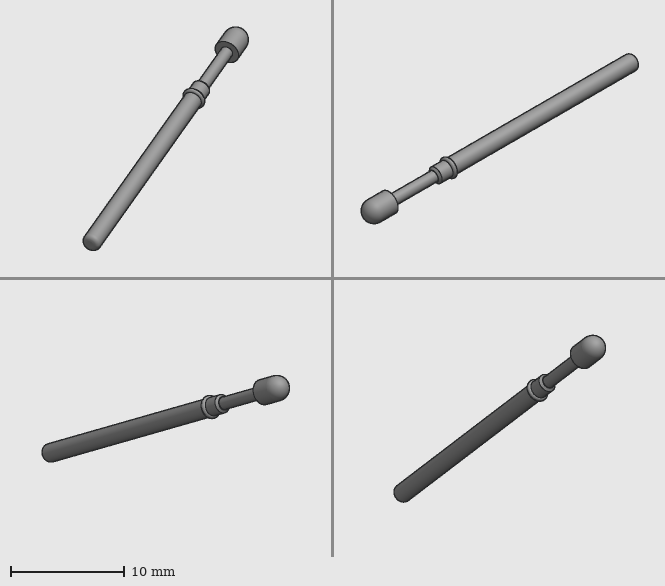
import cadquery as cq
import math

overall_length = 32.3
head_diameter = 2.3
head_length = 3.0
stem_diameter = 1.13
barrel_diameter = 1.68
barrel_mouth_from_tip = 8.3
mouth_chamfer = 0.23
ring_from_tip = 10.08
ring_diameter = 2.1
ring_width = 0.5
tail_fillet = 0.45

head_radius = head_diameter / 2
stem_radius = stem_diameter / 2
barrel_radius = barrel_diameter / 2
ring_round = ring_width / 2
tip_y = overall_length / 2
tail_y = -overall_length / 2
dome_base_y = tip_y - head_radius
head_base_y = tip_y - head_length
mouth_y = tip_y - barrel_mouth_from_tip
ring_y = tip_y - ring_from_tip
diagonal = math.sqrt(0.5)


def make_plunger():
    """Stem with a hemispherical head, reaching down to the barrel mouth."""
    return (
        cq.Workplane("XY")
        .moveTo(0, tip_y)
        .threePointArc(
            (head_radius * diagonal, dome_base_y + head_radius * diagonal),
            (head_radius, dome_base_y),
        )
        .lineTo(head_radius, head_base_y)
        .lineTo(stem_radius, head_base_y)
        .lineTo(stem_radius, mouth_y)
        .lineTo(0, mouth_y)
        .close()
        .revolve(360, (0, 0, 0), (0, 1, 0))
    )


def make_barrel():
    """Round barrel with a chamfered mouth and a rounded tail."""
    return (
        cq.Workplane("XZ", origin=(0, mouth_y, 0))
        .circle(barrel_radius)
        .extrude(mouth_y - tail_y)
        .faces(">Y").chamfer(mouth_chamfer)
        .faces("<Y").edges().fillet(tail_fillet)
    )


def make_press_ring():
    """Round-edged bead that stands proud of the barrel."""
    crown_radius = ring_diameter / 2
    flank_radius = crown_radius - ring_round
    return (
        cq.Workplane("XY")
        .moveTo(0, ring_y - ring_round)
        .lineTo(flank_radius, ring_y - ring_round)
        .threePointArc((crown_radius, ring_y), (flank_radius, ring_y + ring_round))
        .lineTo(0, ring_y + ring_round)
        .close()
        .revolve(360, (0, 0, 0), (0, 1, 0))
    )


result = make_plunger().union(make_barrel()).union(make_press_ring())